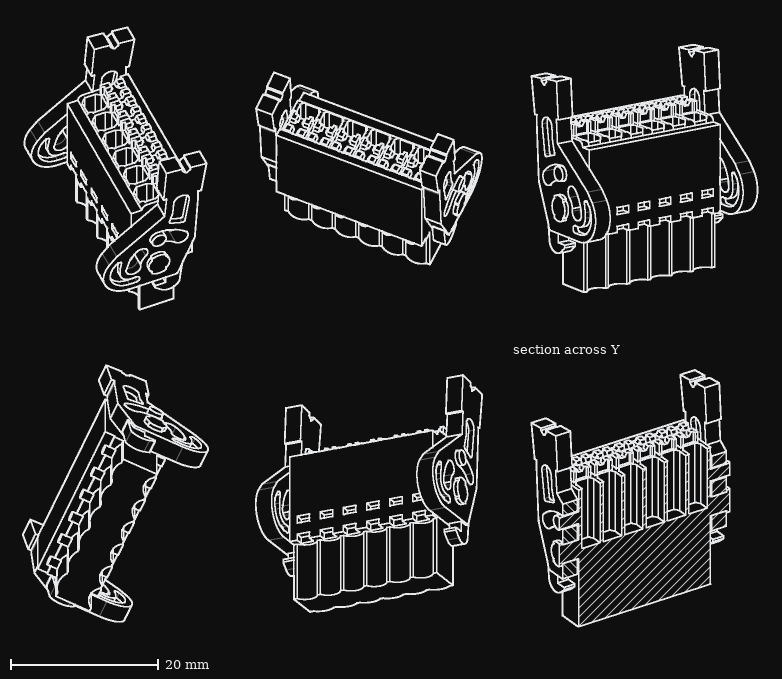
import cadquery as cq
import math


pole_count = 6
pole_pitch = 3.5
pole_xs = [(i - (pole_count - 1) / 2) * pole_pitch for i in range(pole_count)]

housing_half_x = 10.8
housing_length = 2 * housing_half_x

back_face_y = 6.24
back_step_y = 4.82
pocket_back_y = 5.09
pocket_front_y = 1.8
front_wall_back_y = -1.21
front_face_y = -2.79

body_bottom_z = 8.0
back_bottom_z = 8.43
front_wall_top_z = 20.43
deck_top_z = 21.21
back_wall_top_z = 22.44
deck_edge_radius = deck_top_z - front_wall_top_z

plug_front_y = -1.53
plug_back_y = 3.52
plug_bulge_height = 0.54
flute_width = 3.04
flute_depth = 0.9

peg_radius = 0.63
peg_end_y = 5.52
peg_z = body_bottom_z - peg_radius

window_width = 1.86
window_height = 1.0
window_bottom_z = 10.53
notch_height = 0.88
window_depth = plug_front_y - front_face_y

wire_hole_floor_z = 12.0
wire_back_half = 0.95
wire_side_half = 1.45
wire_side_back_y = 1.08
wire_side_front_y = -0.43
wire_front_y = -1.06
wire_arc_half = 1.25
wire_arc_y = 1.47

button_width = 2.8
button_depth = pocket_back_y - pocket_front_y
button_floor_z = 12.0
button_top_z = 22.8
button_bore_radius = 0.7
button_bore_y = 3.61
cross_depth = 0.57
cross_floor_width = 0.58
cross_top_width_y = 1.2
cross_top_width_x = 1.06
recess_width = 1.96
recess_depth = 0.44

lever_x = 12.18
lever_thickness = 2.4
hook_thickness = 1.77
pocket_depth = 0.8
handle_pocket_radius = 0.35
cam_pocket_outer_radius = 2.83
cam_pocket_inner_radius = 1.68
cam_pocket_inner_y = -3.88
cam_pocket_inner_z = 11.92
cam_pocket_end_y = -3.05
cam_pocket_tip_y = -2.65
pivot_y = 0.0
pivot_z = 12.04
lever_round_y = -4.16
lever_bottom_z = 8.18
lever_round_radius = pivot_z - lever_bottom_z

pin_end_x = 13.95
pivot_radius = 1.55
pivot_lug_radius = 1.82
pivot_lug_width = 2.04
guide_distance = 4.86
guide_pin_radius = 1.03

guide_slot_width = 2.18
guide_slot_sweep = 45.0
detent_distance = 3.56
detent_slot_width = 1.98
detent_slot_angles = (133, 168)
detent_hole_radius = 1.09
detent_hole_angle = 178


def box(x_min, x_max, y_min, y_max, z_min, z_max):
    """Axis-parallel box between the given limits."""
    size = (x_max - x_min, y_max - y_min, z_max - z_min)
    return cq.Workplane("XY").box(*size, centered=False).translate((x_min, y_min, z_min))


def pole_box(x, width, y_min, y_max, z_min, z_max):
    """Box of the given width centred on one pole."""
    return box(x - width / 2, x + width / 2, y_min, y_max, z_min, z_max)


def extrude_along_x(outline, thickness):
    """Extrude a YZ outline by half the thickness to both sides of X = 0."""
    return outline.extrude(thickness / 2, both=True)


def about_pivot(radius, degrees):
    """Point at a radius from the pivot; the angle runs from +Y towards +Z."""
    angle = math.radians(degrees)
    return (pivot_y + radius * math.cos(angle), pivot_z + radius * math.sin(angle))


def housing_body():
    arc_drop = deck_edge_radius * math.sqrt(0.5)
    arc_y = front_wall_back_y + deck_edge_radius
    outline = (
        cq.Workplane("YZ")
        .moveTo(front_face_y, body_bottom_z)
        .lineTo(front_face_y, front_wall_top_z)
        .lineTo(front_wall_back_y, front_wall_top_z)
        .threePointArc((arc_y - arc_drop, front_wall_top_z + arc_drop), (arc_y, deck_top_z))
        .lineTo(pocket_back_y, deck_top_z)
        .lineTo(pocket_back_y, back_wall_top_z)
        .lineTo(back_face_y, back_wall_top_z)
        .lineTo(back_face_y, back_bottom_z)
        .lineTo(back_step_y, back_bottom_z)
        .lineTo(back_step_y, body_bottom_z)
        .close()
    )
    return extrude_along_x(outline, housing_length)


def plug_arc_column(x, y, arc_height):
    """Upright column between a chord at the given Y and an arc rising from it towards +Y."""
    return (
        cq.Workplane("XY")
        .moveTo(x - flute_width / 2, y)
        .threePointArc((x, y + arc_height), (x + flute_width / 2, y))
        .close()
        .extrude(body_bottom_z)
    )


def plug_section():
    plug = box(-housing_half_x, housing_half_x, plug_front_y, plug_back_y, 0, body_bottom_z)
    for x in pole_xs:
        plug = plug.union(plug_arc_column(x, plug_back_y, plug_bulge_height))
        plug = plug.cut(plug_arc_column(x, plug_front_y, flute_depth))
    return plug


def coding_peg(x):
    return (
        cq.Workplane("XZ", origin=(x, plug_back_y, peg_z))
        .circle(peg_radius)
        .extrude(plug_back_y - peg_end_y)
    )


def wire_hole(x):
    return (
        cq.Workplane("XY", origin=(x, 0, wire_hole_floor_z))
        .moveTo(-wire_back_half, pocket_front_y)
        .lineTo(wire_back_half, pocket_front_y)
        .threePointArc((wire_arc_half, wire_arc_y), (wire_side_half, wire_side_back_y))
        .lineTo(wire_side_half, wire_side_front_y)
        .lineTo(wire_back_half, wire_front_y)
        .lineTo(-wire_back_half, wire_front_y)
        .lineTo(-wire_side_half, wire_side_front_y)
        .lineTo(-wire_side_half, wire_side_back_y)
        .threePointArc((-wire_arc_half, wire_arc_y), (-wire_back_half, pocket_front_y))
        .close()
        .extrude(back_wall_top_z - wire_hole_floor_z)
    )


def pole_openings(x):
    """Button shaft, wire entry, test window and bottom notch of one pole."""
    shaft = pole_box(
        x, button_width, pocket_front_y, pocket_back_y, button_floor_z, back_wall_top_z
    )
    window_back_y = front_face_y + window_depth
    window_top_z = window_bottom_z + window_height
    window = pole_box(
        x, window_width, front_face_y, window_back_y, window_bottom_z, window_top_z
    )
    notch_top_z = body_bottom_z + notch_height
    notch = pole_box(x, window_width, front_face_y, window_back_y, body_bottom_z, notch_top_z)
    return [shaft, wire_hole(x), window, notch]


def end_pins(side):
    """Pivot with its two retaining lugs, and the guide pin, on the +X (1) or -X (-1) end."""
    shaft_length = side * (pin_end_x - housing_half_x)
    end_plane = cq.Workplane("YZ", origin=(side * housing_half_x, 0, 0))
    pivot = end_plane.center(pivot_y, pivot_z).circle(pivot_radius).extrude(shaft_length)
    guide_pin = (
        end_plane.center(*about_pivot(guide_distance, 90))
        .circle(guide_pin_radius)
        .extrude(shaft_length)
    )
    lever_outer_x = lever_x + lever_thickness / 2
    lug_plane = cq.Workplane("YZ", origin=(side * lever_outer_x, pivot_y, pivot_z))
    lug_length = side * (pin_end_x - lever_outer_x)
    lug_disc = lug_plane.circle(pivot_lug_radius).extrude(lug_length)
    lug_bar = lug_plane.rect(pivot_lug_width, 2 * pivot_lug_radius).extrude(lug_length)
    return [pivot, guide_pin, lug_disc.intersect(lug_bar)]


def make_housing():
    body = housing_body().union(plug_section())
    for x in pole_xs:
        body = body.union(coding_peg(x))
        for opening in pole_openings(x):
            body = body.cut(opening)
    for side in (-1, 1):
        for pin in end_pins(side):
            body = body.union(pin)
    return body


def cross_groove(plane, length, top_width):
    """Trapezoidal groove through the origin, cut down from the button top."""
    return (
        cq.Workplane(plane)
        .moveTo(-cross_floor_width / 2, -cross_depth)
        .lineTo(cross_floor_width / 2, -cross_depth)
        .lineTo(top_width / 2, 0)
        .lineTo(-top_width / 2, 0)
        .close()
        .extrude(length, both=True)
    )


def make_button(x):
    button = pole_box(
        x, button_width, pocket_front_y, pocket_back_y, button_floor_z, button_top_z
    )
    cross_center = (x, button_bore_y, button_top_z)
    button = button.cut(cross_groove("XZ", button_depth, cross_top_width_y).translate(cross_center))
    button = button.cut(cross_groove("YZ", button_width, cross_top_width_x).translate(cross_center))
    bore = cq.Workplane("XY", origin=cross_center).circle(button_bore_radius)
    button = button.cut(bore.extrude(-cross_depth))
    recess_back_y = pocket_front_y + recess_depth
    recess = pole_box(
        x, recess_width, pocket_front_y, recess_back_y, deck_top_z, button_top_z
    )
    return button.cut(recess)


def lever_plate():
    """Handle with a finger notch at the top, widening to the rounded cam at the bottom."""
    outline = (
        cq.Workplane("YZ")
        .moveTo(2.93, lever_bottom_z)
        .lineTo(5.54, 14.52)
        .lineTo(6.03, 22.6)
        .lineTo(6.03, 23.69)
        .lineTo(6.49, 23.69)
        .lineTo(7.28, 28.91)
        .lineTo(4.92, 29.15)
        .lineTo(4.92, 28.8)
        .lineTo(4.24, 28.33)
        .lineTo(3.71, 28.94)
        .lineTo(3.71, 29.35)
        .lineTo(1.31, 29.59)
        .lineTo(0.9, 24.23)
        .lineTo(1.34, 24.23)
        .lineTo(1.05, 20.83)
        .lineTo(-6.05, 15.72)
        .lineTo(-7.17, 14.45)
        .threePointArc(
            (lever_round_y - lever_round_radius, pivot_z), (lever_round_y, lever_bottom_z)
        )
        .close()
    )
    return extrude_along_x(outline, lever_thickness)


def lever_hook():
    outline = (
        cq.Workplane("YZ")
        .moveTo(3.91, 10.39)
        .lineTo(3.41, 6.26)
        .threePointArc((1.78, 5.15), (0.69, 5.56))
        .lineTo(-0.22, 6.35)
        .lineTo(-0.22, 6.74)
        .lineTo(1.34, 6.74)
        .lineTo(1.34, 10.39)
        .close()
    )
    return extrude_along_x(outline, hook_thickness)


def arc_slot(radius, width, start_degrees, end_degrees):
    """Round-ended slot through the lever, curved about the pivot."""
    half = width / 2
    middle_degrees = (start_degrees + end_degrees) / 2
    outline = (
        cq.Workplane("YZ")
        .moveTo(*about_pivot(radius + half, start_degrees))
        .threePointArc(
            about_pivot(radius + half, middle_degrees), about_pivot(radius + half, end_degrees)
        )
        .lineTo(*about_pivot(radius - half, end_degrees))
        .threePointArc(
            about_pivot(radius - half, middle_degrees), about_pivot(radius - half, start_degrees)
        )
        .close()
    )
    slot = extrude_along_x(outline, lever_thickness)
    for degrees in (start_degrees, end_degrees):
        slot = slot.union(round_hole(about_pivot(radius, degrees), half))
    return slot


def round_hole(center, radius):
    outline = cq.Workplane("YZ").center(*center).circle(radius)
    return extrude_along_x(outline, lever_thickness)


def handle_pocket(plane, depth):
    """Tapering pocket in the handle, round at the top."""
    pocket = (
        plane.moveTo(4.71, 22.8)
        .threePointArc((3.55, 23.93), (2.39, 22.8))
        .lineTo(2.23, 20.82)
        .lineTo(1.67, 19.09)
        .lineTo(4.02, 18.27)
        .close()
        .extrude(depth)
    )
    return pocket.edges("|X").edges("<Z or <Y").fillet(handle_pocket_radius)


def cam_pocket(plane, depth):
    """Curved pocket that follows the rounded end of the lever."""
    outer_drop = cam_pocket_outer_radius * math.sqrt(0.5)
    outer_bottom_z = pivot_z - cam_pocket_outer_radius
    inner_drop = cam_pocket_inner_radius * math.sqrt(0.5)
    inner_y = cam_pocket_inner_y
    inner_z = cam_pocket_inner_z
    inner_side_y = inner_y - cam_pocket_inner_radius
    inner_bottom_z = inner_z - cam_pocket_inner_radius
    return (
        plane.moveTo(lever_round_y, outer_bottom_z)
        .threePointArc(
            (lever_round_y - outer_drop, pivot_z - outer_drop),
            (lever_round_y - cam_pocket_outer_radius, pivot_z),
        )
        .threePointArc((-6.75, 13.23), (-6.0, 14.2))
        .threePointArc((-5.66, 14.35), (-5.33, 14.05))
        .lineTo(inner_side_y, 12.7)
        .lineTo(inner_side_y, inner_z)
        .threePointArc((inner_y - inner_drop, inner_z - inner_drop), (inner_y, inner_bottom_z))
        .lineTo(cam_pocket_end_y, inner_bottom_z)
        .threePointArc(
            (cam_pocket_tip_y, (inner_bottom_z + outer_bottom_z) / 2),
            (cam_pocket_end_y, outer_bottom_z),
        )
        .close()
        .extrude(depth)
    )


def make_lever(x):
    lever = lever_plate().union(lever_hook())
    lever = lever.cut(round_hole((pivot_y, pivot_z), pivot_radius))
    lever = lever.cut(arc_slot(guide_distance, guide_slot_width, 90, 90 - guide_slot_sweep))
    lever = lever.cut(arc_slot(detent_distance, detent_slot_width, *detent_slot_angles))
    lever = lever.cut(round_hole(about_pivot(detent_distance, detent_hole_angle), detent_hole_radius))
    for side in (-1, 1):
        face = cq.Workplane("YZ", origin=(side * lever_thickness / 2, 0, 0))
        lever = lever.cut(handle_pocket(face, -side * pocket_depth))
        lever = lever.cut(cam_pocket(face, -side * pocket_depth))
    return lever.translate((x, 0, 0))


housing = make_housing()
buttons = [make_button(x) for x in pole_xs]
levers = [make_lever(x) for x in (-lever_x, lever_x)]

result = cq.Compound.makeCompound(
    [housing.val()] + [button.val() for button in buttons] + [lever.val() for lever in levers]
)